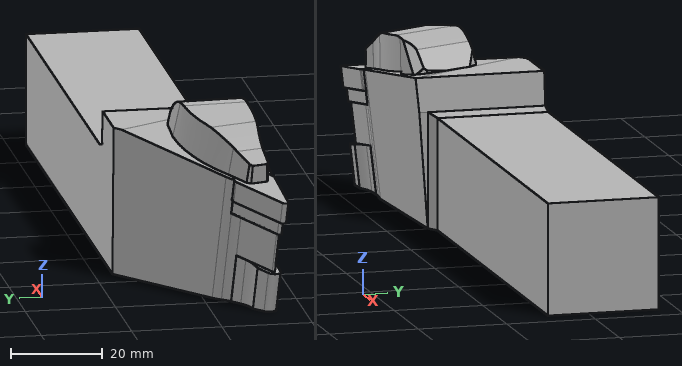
import cadquery as cq
import math


overall_length = 148.3
overall_width = 31.9
shank_size = 25.0
shank_start = 56.4
neck_root = 44.5
neck_top_rise = 0.9
neck_side_rise = 1.5

head_height = 33.5
head_end_top = 53.0
head_end = 53.8

insert_angle = 35.0
inscribed_circle = 9.5
insert_thickness = 4.7
nose_radius = 0.8

nose_height = 25.7
seat_tilt = math.radians(9.6)
rise_direction = math.radians(29.0)
bisector_direction = math.radians(20.5)

shim_thickness = 3.1
shim_setback = 0.9
shim_inset = 0.49
pillar_depth = 17.0
pillar_setback = 1.5
pillar_inset = 0.9
base_setback = 1.5
base_radius = 1.6
base_proud = 0.05
base_flat_end = 4.6
base_hollow_share = 0.75
base_curve_end = 9.2
head_inset = 0.22
flank_step_start = 12.0
flank_step_middle = 14.5
flank_step_end = 16.9
seat_depth = 59.3
head_reach = 74.2

clamp_height = 8.3
clamp_draft = 6.0
clamp_nose_x = 11.1
clamp_nose_front = -2.0
clamp_nose_back = 2.1
clamp_nose_chamfer = 0.7
clamp_front_nose_end = (16.3, -3.7)
clamp_front_hollow = (19.3, -4.7)
clamp_front_hollow_end = (22.0, -6.0)
clamp_front_bulge = (30.0, -9.0)
clamp_front_bulge_end = (37.0, -11.0)
clamp_rear_front_corner = (43.3, -12.0)
clamp_rear_front_bevel = (45.2, -9.8)
clamp_rear_tip = (47.5, -0.3)
clamp_rear_back_corner = (45.2, 3.4)
clamp_back_curve_end = (38.9, 5.8)
clamp_back_curve_middle = (30.0, 7.0)
clamp_back_curve_start = (16.9, 4.5)
clamp_nose_height = 3.9
clamp_nose_curve_start = (16.0, 5.8)
clamp_nose_curve_middle = (20.2, 7.4)
clamp_nose_curve_end = 24.3
clamp_rear_turn = 8.0
clamp_rear_curve_start = 35.3
clamp_rear_curve_end = (42.9, 5.2)
clamp_rear_foot = 46.6
clamp_facet_point = (41.8, -9.6, 5.2)
clamp_facet_turn = math.radians(-57)
clamp_facet_lean = math.radians(27)
clamp_relief_start = 17.0
clamp_relief_end = 37.0
clamp_relief_height = 0.52
clamp_relief_back = 3.0
clamp_margin = 29.7

half_angle = math.radians(insert_angle / 2)


def seat_plane():
    """Plane of the insert's top face: origin at the nose centre, X along the insert bisector."""
    slope = math.tan(seat_tilt)
    slope_x = slope * math.cos(rise_direction)
    slope_y = slope * math.sin(rise_direction)
    along_x = math.cos(bisector_direction)
    along_y = math.sin(bisector_direction)
    along = cq.Vector(along_x, along_y, slope_x * along_x + slope_y * along_y)
    origin = cq.Vector(nose_radius, nose_radius - overall_width, nose_height)
    return cq.Plane(origin, along, cq.Vector(-slope_x, -slope_y, 1))


seat = seat_plane()


def flank_point(station, inset, side):
    """Point at a station along a flank, inset from the insert's edge; side is -1 (front) or 1 (back)."""
    offset = nose_radius - inset
    x = station * math.cos(half_angle) - offset * math.sin(half_angle)
    y = station * math.sin(half_angle) + offset * math.cos(half_angle)
    return (x, side * y)


def nose_arc_radius(setback, inset):
    """Radius of the nose arc that is set back along the bisector and tangent to the inset flanks."""
    return nose_radius + setback * math.sin(half_angle) - inset


def nose_arc(setback, inset):
    """Front end, tip and back end of the nose arc between the inset flanks."""
    station = setback * math.cos(half_angle)
    tip = (setback - nose_arc_radius(setback, inset), 0)
    return flank_point(station, inset, -1), tip, flank_point(station, inset, 1)


def make_insert():
    """Rhombic insert with rounded corners."""
    half_length = inscribed_circle / 2 / math.sin(half_angle)
    half_width = inscribed_circle / 2 / math.cos(half_angle)
    centre = half_length - nose_radius / math.sin(half_angle)
    corners = [
        (centre - half_length, 0),
        (centre, -half_width),
        (centre + half_length, 0),
        (centre, half_width),
    ]
    rhombus = cq.Workplane(seat).polyline(corners).close().extrude(-insert_thickness)
    upright = cq.selectors.ParallelDirSelector(seat.zDir)
    return rhombus.edges(upright).fillet(nose_radius)


def head_blank():
    """Head outline swept square to the seat plane: pillar flanks that step out to the head flanks."""
    front, tip, back = nose_arc(pillar_setback, pillar_inset)
    middle_inset = (pillar_inset + head_inset) / 2
    return (
        cq.Workplane(seat)
        .moveTo(*front)
        .threePointArc(tip, back)
        .lineTo(*flank_point(flank_step_start, pillar_inset, 1))
        .tangentArcPoint(flank_point(flank_step_middle, middle_inset, 1), relative=False)
        .tangentArcPoint(flank_point(flank_step_end, head_inset, 1), relative=False)
        .lineTo(*flank_point(head_reach, head_inset, 1))
        .lineTo(*flank_point(head_reach, head_inset, -1))
        .lineTo(*flank_point(flank_step_end, head_inset, -1))
        .tangentArcPoint(flank_point(flank_step_middle, middle_inset, -1), relative=False)
        .tangentArcPoint(flank_point(flank_step_start, pillar_inset, -1), relative=False)
        .close()
        .extrude(-seat_depth)
    )


def head_envelope():
    """Side profile of the head, from the underside to the flat top and the leaning end face."""
    profile = [
        (0, 0),
        (head_end, 0),
        (head_end, shank_size + neck_top_rise),
        (head_end_top, head_height),
        (0, head_height),
    ]
    return cq.Workplane("XZ").polyline(profile).close().extrude(overall_width)


def make_shim():
    """Shim layer directly below the insert, set in from its flanks."""
    front, tip, back = nose_arc(shim_setback, shim_inset)
    layer = (
        cq.Workplane(seat)
        .moveTo(*flank_point(flank_step_middle, shim_inset, -1))
        .lineTo(*front)
        .threePointArc(tip, back)
        .lineTo(*flank_point(flank_step_middle, shim_inset, 1))
        .close()
        .extrude(-shim_thickness)
    )
    return layer.translate(seat.zDir * -insert_thickness)


def make_base():
    """Foot below the pillar: proud at its nose, with hollow arcs that bring its flanks back."""
    nose_inset = nose_arc_radius(base_setback, 0) - base_radius
    rear_inset = pillar_inset - base_proud
    front, tip, back = nose_arc(base_setback, nose_inset)
    hollow_station = (base_flat_end + base_curve_end) / 2
    hollow_inset = nose_inset + (rear_inset - nose_inset) * base_hollow_share
    front_hollow = flank_point(hollow_station, hollow_inset, -1)
    back_hollow = flank_point(hollow_station, hollow_inset, 1)
    foot = (
        cq.Workplane(seat)
        .moveTo(*flank_point(flank_step_start, rear_inset, -1))
        .lineTo(*flank_point(base_curve_end, rear_inset, -1))
        .threePointArc(front_hollow, flank_point(base_flat_end, nose_inset, -1))
        .lineTo(*front)
        .threePointArc(tip, back)
        .lineTo(*flank_point(base_flat_end, nose_inset, 1))
        .threePointArc(back_hollow, flank_point(base_curve_end, rear_inset, 1))
        .lineTo(*flank_point(flank_step_start, rear_inset, 1))
        .close()
        .extrude(-seat_depth)
    )
    return foot.translate(seat.zDir * -pillar_depth)


def make_shank():
    """Square shank with a neck that widens towards the head."""
    side = [
        (neck_root, 0),
        (overall_length, 0),
        (overall_length, shank_size),
        (shank_start, shank_size),
        (head_end, shank_size + neck_top_rise),
        (neck_root, shank_size + neck_top_rise),
    ]
    plan = [
        (neck_root, 0),
        (overall_length, 0),
        (overall_length, -shank_size),
        (shank_start, -shank_size),
        (head_end, -shank_size - neck_side_rise),
        (neck_root, -shank_size),
    ]
    side_prism = cq.Workplane("XZ").polyline(side).close().extrude(overall_width)
    plan_prism = cq.Workplane("XY").polyline(plan).close().extrude(head_height)
    return side_prism.intersect(plan_prism)


def clamp_body():
    """Drafted clamp block standing on the seat plane."""
    return (
        cq.Workplane(seat)
        .moveTo(clamp_nose_x, clamp_nose_front)
        .lineTo(clamp_nose_x + clamp_nose_chamfer, clamp_nose_front - clamp_nose_chamfer)
        .lineTo(*clamp_front_nose_end)
        .threePointArc(clamp_front_hollow, clamp_front_hollow_end)
        .threePointArc(clamp_front_bulge, clamp_front_bulge_end)
        .lineTo(*clamp_rear_front_corner)
        .lineTo(*clamp_rear_front_bevel)
        .lineTo(*clamp_rear_tip)
        .lineTo(*clamp_rear_back_corner)
        .lineTo(*clamp_back_curve_end)
        .threePointArc(clamp_back_curve_middle, clamp_back_curve_start)
        .lineTo(clamp_nose_x + clamp_nose_chamfer, clamp_nose_back + clamp_nose_chamfer)
        .lineTo(clamp_nose_x, clamp_nose_back)
        .close()
        .extrude(clamp_height, taper=clamp_draft)
    )


def clamp_nose_profile(side_plane):
    """Side profile with the sloping nose, rounded into the flat top."""
    return (
        cq.Workplane(side_plane)
        .lineTo(clamp_nose_x, clamp_nose_height)
        .lineTo(*clamp_nose_curve_start)
        .threePointArc(clamp_nose_curve_middle, (clamp_nose_curve_end, clamp_height))
        .lineTo(clamp_rear_foot + clamp_margin, clamp_height)
        .lineTo(clamp_rear_foot + clamp_margin, 0)
        .close()
        .extrude(clamp_margin, both=True)
    )


def clamp_rear_profile(side_plane):
    """Side profile with the rear that curves down to the seat plane, turned about the nose centre."""
    profile = (
        cq.Workplane(side_plane)
        .lineTo(0, clamp_height)
        .lineTo(clamp_rear_curve_start, clamp_height)
        .tangentArcPoint(clamp_rear_curve_end, relative=False)
        .lineTo(clamp_rear_foot, 0)
        .close()
        .extrude(clamp_margin, both=True)
    )
    return profile.rotate(seat.origin, seat.origin + seat.zDir, -clamp_rear_turn)


def clamp_facet_cutter():
    """Block whose leaning face bevels the front corner of the clamp's rear."""
    level = math.cos(clamp_facet_lean)
    outward = (
        seat.xDir * (level * math.cos(clamp_facet_turn))
        + seat.yDir * (level * math.sin(clamp_facet_turn))
        + seat.zDir * math.sin(clamp_facet_lean)
    )
    facet = cq.Plane(seat.toWorldCoords(clamp_facet_point), seat.xDir, outward)
    return cq.Workplane(facet).rect(clamp_margin, clamp_margin).extrude(clamp_margin)


def clamp_relief(side_plane):
    """Shallow wedge of clearance below the front side of the clamp."""
    profile = [
        (clamp_relief_start, 0),
        (clamp_relief_end, clamp_relief_height),
        (clamp_relief_end, 0),
    ]
    wedge_plane = cq.Workplane(side_plane).workplane(offset=clamp_relief_back)
    return wedge_plane.polyline(profile).close().extrude(clamp_margin)


def make_clamp():
    """Finger clamp that stands on the seat plane and reaches over the insert."""
    side_plane = cq.Plane(seat.origin, seat.xDir, -seat.yDir)
    clamp = clamp_body().intersect(clamp_nose_profile(side_plane))
    clamp = clamp.intersect(clamp_rear_profile(side_plane))
    return clamp.cut(clamp_facet_cutter()).cut(clamp_relief(side_plane))


def make_holder(seated_insert):
    """One-piece holder: shank, head with its seat stack, and clamp, with a pocket for the insert."""
    envelope = head_envelope()
    head = head_blank().union(make_shim()).union(make_base()).intersect(envelope)
    return head.union(make_shank()).union(make_clamp()).cut(seated_insert)


insert = make_insert()
holder = make_holder(insert)
result = cq.Compound.makeCompound([holder.val(), insert.val()])